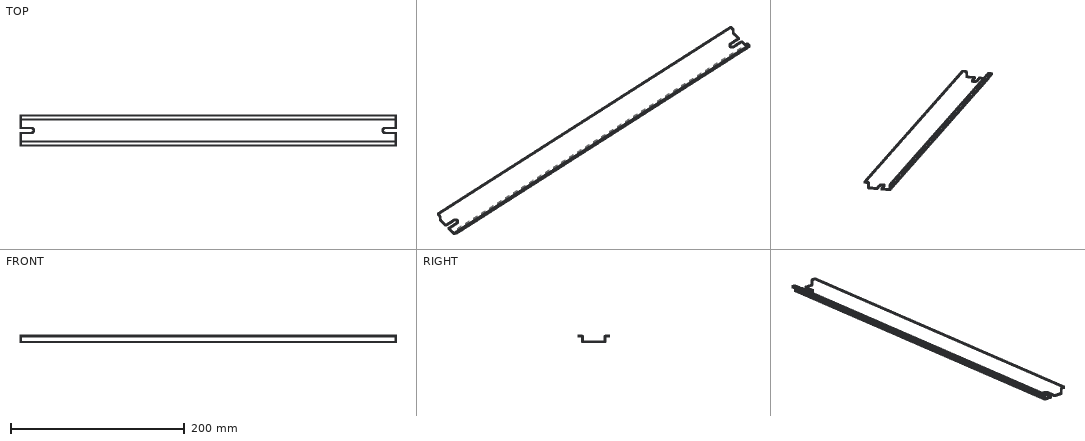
import cadquery as cq

length = 433.0
width = 35.0
height = 7.5

thickness = 1.0
channel_width = 27.0
inner_bend_radius = 0.8
outer_bend_radius = inner_bend_radius + thickness

slot_width = 5.5
slot_depth = 15.0


def rail_section():
    """Sharp-cornered hat outline in the YZ plane, centred on Y with its base at Z = 0."""
    flange_edge = width / 2
    wall_outside = channel_width / 2
    wall_inside = wall_outside - thickness
    flange_underside = height - thickness
    right_half = [
        (wall_outside, 0),
        (wall_outside, flange_underside),
        (flange_edge, flange_underside),
        (flange_edge, height),
        (wall_inside, height),
        (wall_inside, thickness),
    ]
    left_half = [(-y, z) for y, z in reversed(right_half)]
    return cq.Workplane("YZ").polyline(right_half + left_half).close()


def bend_edges(body, y, z):
    """Pick the two lengthwise edges at +y and -y, both at height z."""
    reach = 0.01
    right_edge, left_edge = [
        cq.selectors.BoxSelector(
            (-length, side_y - reach, z - reach),
            (length, side_y + reach, z + reach),
        )
        for side_y in (y, -y)
    ]
    return body.edges(right_edge + left_edge)


def round_bends(body):
    """Round both faces of the sheet at the base bends and the flange bends."""
    wall_outside = channel_width / 2
    wall_inside = wall_outside - thickness
    bends = [
        (wall_outside, 0, outer_bend_radius),
        (wall_inside, thickness, inner_bend_radius),
        (wall_inside, height, outer_bend_radius),
        (wall_outside, height - thickness, inner_bend_radius),
    ]
    for y, z, radius in bends:
        body = bend_edges(body, y, z).fillet(radius)
    return body


def end_slot(end_x):
    """Cutter for one round-bottomed slot, running equally far inside and outside the rail end."""
    return (
        cq.Workplane("XY")
        .center(end_x, 0)
        .slot2D(2 * slot_depth, slot_width)
        .extrude(height)
    )


rail = rail_section().extrude(length / 2, both=True)
rail = round_bends(rail)
for end_x in (-length / 2, length / 2):
    rail = rail.cut(end_slot(end_x))

result = rail